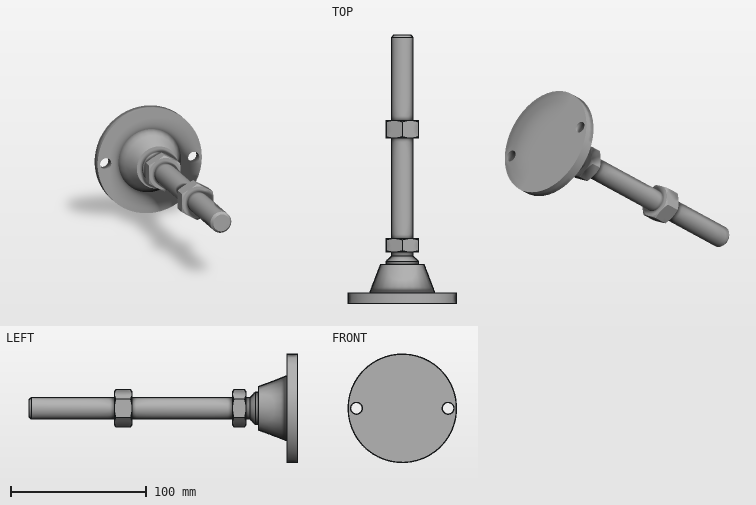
import cadquery as cq
import math


base_diameter = 80.0
base_thickness = 8.0
mounting_hole_diameter = 8.5
mounting_hole_spacing = 67.5

hub_bottom_diameter = 48.0
hub_top_diameter = 32.0
hub_top = 29.0

stud_diameter = 16.0
stud_end = 198.0
stud_end_chamfer_length = 2.0
stud_end_chamfer_depth = 1.6
collar_diameter = 24.0
collar_top = 31.2
collar_taper_top = 35.0

nut_sides = 6
nut_across_flats = 24.0
nut_chamfer_angle = 30.0
lower_nut_start = 38.0
lower_nut_height = 10.0
upper_nut_start = 122.0
upper_nut_height = 13.0


def revolve_about_y(profile):
    """Revolve a list of (radius, y) points, drawn on the -X side, about the Y axis."""
    points = [(-radius, y) for radius, y in profile]
    return cq.Workplane("XY").polyline(points).close().revolve(360, (0, 0), (0, 1))


def foot_and_stud():
    stud_radius = stud_diameter / 2
    return revolve_about_y([
        (0, 0),
        (base_diameter / 2, 0),
        (base_diameter / 2, base_thickness),
        (hub_bottom_diameter / 2, base_thickness),
        (hub_top_diameter / 2, hub_top),
        (collar_diameter / 2, hub_top),
        (collar_diameter / 2, collar_top),
        (stud_radius, collar_taper_top),
        (stud_radius, stud_end - stud_end_chamfer_length),
        (stud_radius - stud_end_chamfer_depth, stud_end),
        (0, stud_end),
    ])


def hex_nut(start, height):
    """Hexagon nut with corners on +Z and -Z, both ends turned down to the flats."""
    end = start + height
    flat_radius = nut_across_flats / 2
    corner_radius = flat_radius / math.cos(math.pi / nut_sides)
    chamfer_length = (corner_radius - flat_radius) * math.tan(math.radians(nut_chamfer_angle))
    prism = (
        cq.Workplane("XZ", origin=(0, start, 0))
        .transformed(rotate=(0, 0, 90))
        .polygon(nut_sides, 2 * corner_radius)
        .extrude(-height)
    )
    turned_blank = revolve_about_y([
        (0, start),
        (flat_radius, start),
        (corner_radius, start + chamfer_length),
        (corner_radius, end - chamfer_length),
        (flat_radius, end),
        (0, end),
    ])
    return prism.intersect(turned_blank)


def mounting_holes():
    half_spacing = mounting_hole_spacing / 2
    return (
        cq.Workplane("XZ")
        .pushPoints([(-half_spacing, 0), (half_spacing, 0)])
        .circle(mounting_hole_diameter / 2)
        .extrude(-base_thickness)
    )


result = (
    foot_and_stud()
    .union(hex_nut(lower_nut_start, lower_nut_height))
    .union(hex_nut(upper_nut_start, upper_nut_height))
    .cut(mounting_holes())
)